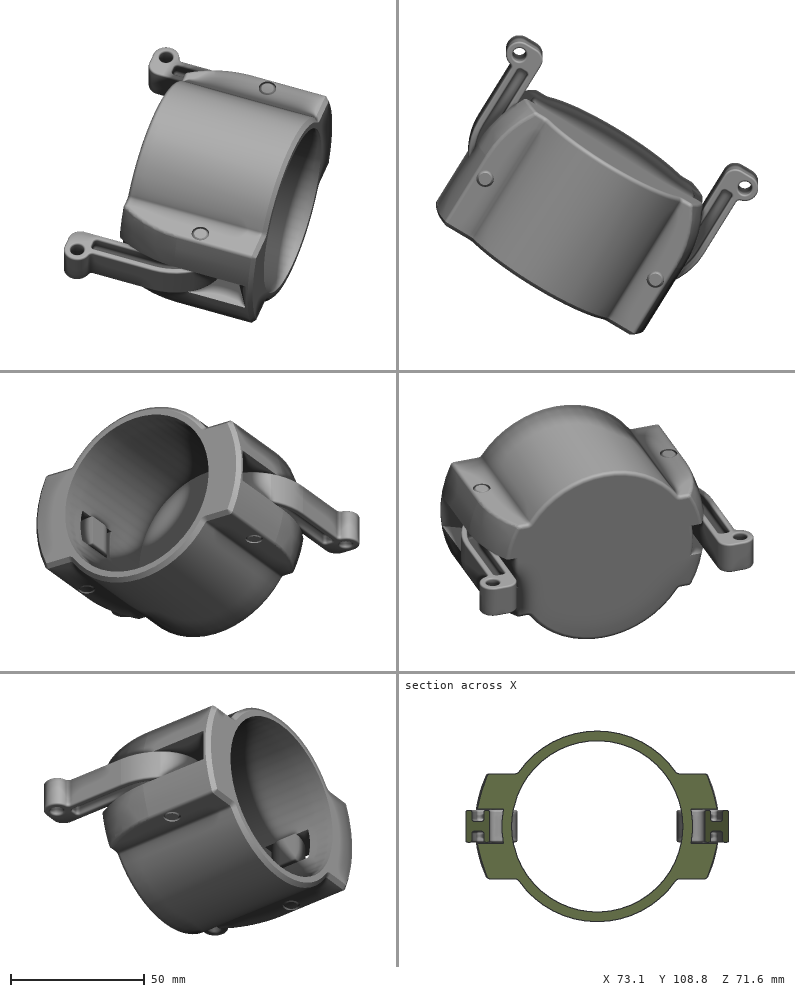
import cadquery as cq
import math

HOUSING_LENGTH = 55.1
BODY_RADIUS = 35.8
BORE_RADIUS = 64.0 / 2
FRONT_WALL = BODY_RADIUS - BORE_RADIUS
EDGE_RADIUS = 1.5
REAR_CHAMFER = 1.5

LUG_RADIUS = 45.9
LUG_HALF_HEIGHT = 19.8
LUG_FRONT_RADIUS = 39.3
LUG_TAPER_LENGTH = 24.1

LEVER_THICKNESS = 12.1
LEVER_EDGE_RADIUS = 0.71
LEVER_CLEARANCE = 0.3
PIVOT_X = 31.8
PIVOT_Y = 37.4
HUB_RADIUS = 7.5
LEVER_FRONT_X = -18.0
BAR_INNER_Y = 40.3
BAR_OUTER_Y = 49.4
BAR_BEND_X = 16.9
BAR_BEND_RADIUS = 26.1
EYE_RADIUS = 5.0
EYE_X = LEVER_FRONT_X + EYE_RADIUS
EYE_HOLE_DIAMETER = 5.1
EYE_ROOT_RADIUS = 1.5
LEVER_CORNER_RADIUS = 4.7

GROOVE_RIM = 2.4
GROOVE_DEPTH = 4.1
GROOVE_FRONT_X = -8.5
GROOVE_REAR_X = 27.2
GROOVE_CORNER_RADIUS = 1.3
GROOVE_FLOOR_RADIUS = 0.9

SLOT_WIDTH = LEVER_THICKNESS + 2 * LEVER_CLEARANCE
SLOT_REAR_X = 52.8
SLOT_REAR_ANGLE = 31.0
WINDOW_FRONT_X = PIVOT_X - HUB_RADIUS - LEVER_CLEARANCE

PIN_DIAMETER = 6.4
PIN_HOLE_DIAMETER = 6.5
PIN_LENGTH = 2 * LUG_HALF_HEIGHT
PIN_CHAMFER = 0.9

MARGIN = 1.1

SIDES = (1, -1)


def round_body():
    """Plain round body of the housing, its axis along X."""
    return cq.Workplane("YZ").circle(BODY_RADIUS).extrude(HOUSING_LENGTH)


def lugs():
    """Both lugs as one flat-sided slice of a turned shape that tapers along an arc to the front."""
    drop = LUG_RADIUS - LUG_FRONT_RADIUS
    taper_radius = (LUG_TAPER_LENGTH**2 + drop**2) / (2 * drop)
    half_angle = math.asin(LUG_TAPER_LENGTH / taper_radius) / 2
    middle = (
        LUG_TAPER_LENGTH - taper_radius * math.sin(half_angle),
        LUG_RADIUS - taper_radius * (1 - math.cos(half_angle)),
    )
    turned = (
        cq.Workplane("XY")
        .lineTo(0, LUG_FRONT_RADIUS)
        .threePointArc(middle, (LUG_TAPER_LENGTH, LUG_RADIUS))
        .lineTo(HOUSING_LENGTH, LUG_RADIUS)
        .lineTo(HOUSING_LENGTH, 0)
        .close()
        .revolve(360, (0, 0, 0), (1, 0, 0))
    )
    slab = cq.Workplane("XY").box(2 * HOUSING_LENGTH, 2 * LUG_RADIUS, 2 * LUG_HALF_HEIGHT)
    flat_sided = turned.intersect(slab)
    return flat_sided.faces("<Z or >Z").edges("not(<X or >X)").fillet(EDGE_RADIUS)


def housing_shell():
    """Body and lugs with rounded edges, and the blind bore."""
    shell = round_body().union(lugs())
    root_y = math.sqrt(BODY_RADIUS**2 - LUG_HALF_HEIGHT**2)
    root_zone = cq.selectors.BoxSelector(
        (0, -root_y - MARGIN, -LUG_HALF_HEIGHT - MARGIN),
        (HOUSING_LENGTH, root_y + MARGIN, LUG_HALF_HEIGHT + MARGIN),
    )
    shell = shell.edges("|X").edges(root_zone).fillet(EDGE_RADIUS)
    shell = shell.faces("<X").edges().fillet(EDGE_RADIUS)
    shell = shell.faces(">X").edges().chamfer(REAR_CHAMFER)
    bore = (
        cq.Workplane("YZ").workplane(offset=FRONT_WALL).circle(BORE_RADIUS).extrude(HOUSING_LENGTH)
    )
    return shell.cut(bore)


def slot_prism(front_x, inner_y):
    """Block as high as the slot, from inner_y outward, with the slanted rear end."""
    slant = math.tan(math.radians(SLOT_REAR_ANGLE))
    outer_y = LUG_RADIUS + MARGIN
    outline = [
        (front_x, inner_y),
        (front_x, outer_y),
        (SLOT_REAR_X + slant * (outer_y - LUG_RADIUS), outer_y),
        (SLOT_REAR_X - slant * (LUG_RADIUS - inner_y), inner_y),
    ]
    return cq.Workplane("XY").polyline(outline).close().extrude(SLOT_WIDTH / 2, both=True)


def slot(side):
    """Slot that stops at the round body in front and opens into the bore around the hub."""
    inner_y = BORE_RADIUS - MARGIN
    kept_body = round_body().faces("<X").edges().fillet(EDGE_RADIUS)
    cutter = slot_prism(-MARGIN, inner_y).cut(kept_body).union(slot_prism(WINDOW_FRONT_X, inner_y))
    return cutter if side > 0 else cutter.mirror("XZ")


def pin_cylinder(side, diameter):
    """Cylinder on a pivot axis, from the lower to the upper lug face."""
    return (
        cq.Workplane("XY")
        .center(PIVOT_X, side * PIVOT_Y)
        .circle(diameter / 2)
        .extrude(PIN_LENGTH / 2, both=True)
    )


def make_housing():
    housing = housing_shell()
    for side in SIDES:
        housing = housing.cut(slot(side)).cut(pin_cylinder(side, PIN_HOLE_DIAMETER))
    return housing


def make_pin(side):
    return pin_cylinder(side, PIN_DIAMETER).faces("<Z or >Z").edges().chamfer(PIN_CHAMFER)


def bend_point(offset, x):
    """Point at x on the bar's curved outer side, moved inward by offset."""
    centre_y = BAR_OUTER_Y - BAR_BEND_RADIUS
    return (x, centre_y + math.sqrt((BAR_BEND_RADIUS - offset) ** 2 - (x - BAR_BEND_X) ** 2))


def polar_point(centre, radius, angle):
    """Point on a circle, at an angle in radians from +X."""
    return (centre[0] + radius * math.cos(angle), centre[1] + radius * math.sin(angle))


def lever_blank():
    """Solid lever on the +Y side, without groove, holes and rounded edges."""
    eighth_turn = math.pi / 4
    eye_centre = (EYE_X, BAR_OUTER_Y)
    pivot = (PIVOT_X, PIVOT_Y)

    reach = EYE_RADIUS + EYE_ROOT_RADIUS
    root_angle = math.asin(EYE_ROOT_RADIUS / reach)
    root_centre = polar_point(eye_centre, reach, root_angle)
    root_start = polar_point(eye_centre, EYE_RADIUS, root_angle)
    root_middle = polar_point(root_centre, EYE_ROOT_RADIUS, 5 * eighth_turn + root_angle / 2)
    root_end = (root_centre[0], BAR_OUTER_Y)

    neck_radius = BAR_INNER_Y - PIVOT_Y
    neck_centre = (PIVOT_X - HUB_RADIUS - neck_radius, PIVOT_Y)
    neck_start = (PIVOT_X - HUB_RADIUS, PIVOT_Y)
    neck_middle = polar_point(neck_centre, neck_radius, eighth_turn)
    neck_end = (neck_centre[0], BAR_INNER_Y)

    corner_centre = (LEVER_FRONT_X + LEVER_CORNER_RADIUS, BAR_INNER_Y + LEVER_CORNER_RADIUS)
    corner_start = (corner_centre[0], BAR_INNER_Y)
    corner_middle = polar_point(corner_centre, LEVER_CORNER_RADIUS, 5 * eighth_turn)
    corner_end = (LEVER_FRONT_X, corner_centre[1])

    return (
        cq.Workplane("XY")
        .moveTo(BAR_BEND_X, BAR_OUTER_Y)
        .threePointArc(bend_point(0, (BAR_BEND_X + PIVOT_X) / 2), bend_point(0, PIVOT_X))
        .tangentArcPoint((PIVOT_X + HUB_RADIUS, PIVOT_Y - HUB_RADIUS), relative=False)
        .lineTo(PIVOT_X, PIVOT_Y - HUB_RADIUS)
        .threePointArc(polar_point(pivot, HUB_RADIUS, 5 * eighth_turn), neck_start)
        .threePointArc(neck_middle, neck_end)
        .lineTo(*corner_start)
        .threePointArc(corner_middle, corner_end)
        .lineTo(LEVER_FRONT_X, BAR_OUTER_Y)
        .threePointArc((EYE_X, BAR_OUTER_Y + EYE_RADIUS), root_start)
        .threePointArc(root_middle, root_end)
        .close()
        .extrude(LEVER_THICKNESS / 2, both=True)
    )


def eye_hole():
    return (
        cq.Workplane("XY")
        .center(EYE_X, BAR_OUTER_Y)
        .circle(EYE_HOLE_DIAMETER / 2)
        .extrude(LEVER_THICKNESS, both=True)
    )


def groove():
    """Groove in the upper face, following the bar and its bend at constant width."""
    inner_y = BAR_INNER_Y + GROOVE_RIM
    outer_y = BAR_OUTER_Y - GROOVE_RIM
    inner_offset = BAR_OUTER_Y - inner_y
    bend_middle_x = (BAR_BEND_X + GROOVE_REAR_X) / 2
    return (
        cq.Workplane("XY")
        .workplane(offset=LEVER_THICKNESS / 2 - GROOVE_DEPTH)
        .moveTo(GROOVE_FRONT_X, inner_y)
        .lineTo(GROOVE_FRONT_X, outer_y)
        .lineTo(BAR_BEND_X, outer_y)
        .threePointArc(bend_point(GROOVE_RIM, bend_middle_x), bend_point(GROOVE_RIM, GROOVE_REAR_X))
        .lineTo(*bend_point(inner_offset, GROOVE_REAR_X))
        .threePointArc(bend_point(inner_offset, bend_middle_x), (BAR_BEND_X, inner_y))
        .close()
        .extrude(GROOVE_DEPTH)
        .edges("|Z and (<X or >X)")
        .fillet(GROOVE_CORNER_RADIUS)
        .faces("<Z")
        .edges()
        .fillet(GROOVE_FLOOR_RADIUS)
    )


def make_lever(side):
    upper_groove = groove()
    lever = lever_blank().cut(eye_hole()).cut(upper_groove).cut(upper_groove.mirror("XY"))
    lever = lever.faces("<Z or >Z").edges().fillet(LEVER_EDGE_RADIUS)
    lever = lever.cut(pin_cylinder(1, PIN_HOLE_DIAMETER))
    return lever if side > 0 else lever.mirror("XZ")


housing = make_housing()
levers = [make_lever(side) for side in SIDES]
pins = [make_pin(side) for side in SIDES]
result = cq.Compound.makeCompound([housing.val(), *[body.val() for body in levers + pins]])